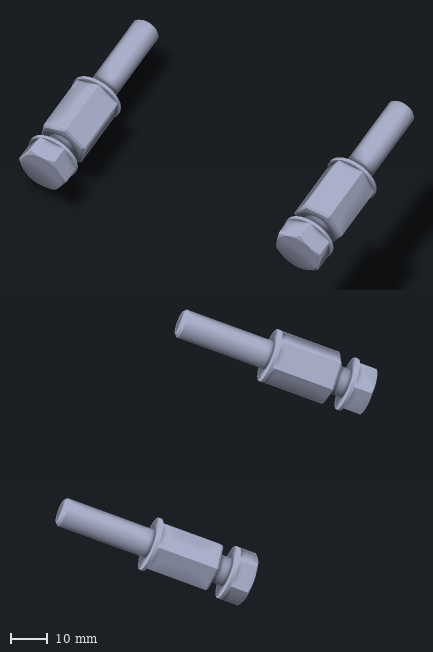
import cadquery as cq
import math

overall_width = 95.6
axis_rise = 19.8

across_flats = 13.0
across_corners = across_flats / math.cos(math.pi / 6)

shank_diameter = 8.0
overall_length = 55.6
head_height = 5.6
shank_length = overall_length - head_height
tip_chamfer = 0.7
head_face_diameter = 12.8
head_chamfer_angle = 30.0

washer_diameter = across_corners
washer_thickness = 1.0

nut_length = 18.0
nut_head_side_chamfer = 0.6
nut_washer_side_chamfer = 0.3
nut_start = 4.9
nut_washer_start = nut_start + nut_length

axis_spacing = overall_width - washer_diameter
bolt_sets = [
    {"x": 0.0, "z": 0.0, "head_turn": 0.0, "nut_turn": -21.3},
    {"x": axis_spacing, "z": axis_rise, "head_turn": -25.2, "nut_turn": 0.0},
]


def hexagon_bar(start, length):
    """Hexagonal bar around the Y axis with a corner toward +X, from Y = start to start + length."""
    return cq.Workplane("XZ", origin=(0, start, 0)).polygon(6, across_corners).extrude(-length)


def rod(diameter, start, length):
    """Cylinder around the Y axis from Y = start to start + length."""
    return cq.Workplane("XZ", origin=(0, start, 0)).circle(diameter / 2).extrude(-length)


def turned(body, angle):
    """Rotate a body about the Y axis."""
    return body.rotate((0, 0, 0), (0, 1, 0), angle)


def make_head(head_turn):
    """Hexagonal head whose corners are trimmed by a cone at the outer end."""
    hexagon = hexagon_bar(-head_height, head_height)
    corner_radius = across_corners / 2
    face_radius = head_face_diameter / 2
    cone_depth = (corner_radius - face_radius) * math.tan(math.radians(head_chamfer_angle))
    trim = (
        cq.Workplane("XY")
        .lineTo(corner_radius, 0)
        .lineTo(corner_radius, -head_height + cone_depth)
        .lineTo(face_radius, -head_height)
        .lineTo(0, -head_height)
        .close()
        .revolve(360, (0, 0, 0), (0, 1, 0))
    )
    return turned(hexagon.intersect(trim), head_turn)


def make_bolt(head_turn):
    """Hexagon bolt with a chamfered shank tip."""
    shank = rod(shank_diameter, 0, shank_length).faces(">Y").chamfer(tip_chamfer)
    return shank.union(make_head(head_turn))


def make_washer(start):
    """Washer that fits closely around the shank."""
    disc = rod(washer_diameter, start, washer_thickness)
    return disc.cut(rod(shank_diameter, start, washer_thickness))


def make_nut(nut_turn):
    """Long hexagonal nut with both ends chamfered, bored for the shank."""
    hexagon = hexagon_bar(nut_start, nut_length)
    hexagon = hexagon.faces("<Y").chamfer(nut_head_side_chamfer)
    hexagon = hexagon.faces(">Y").chamfer(nut_washer_side_chamfer)
    return turned(hexagon.cut(rod(shank_diameter, nut_start, nut_length)), nut_turn)


bodies = []
for bolt_set in bolt_sets:
    bolt = make_bolt(bolt_set["head_turn"])
    head_washer = make_washer(0)
    nut = make_nut(bolt_set["nut_turn"])
    nut_washer = make_washer(nut_washer_start)
    axis_position = (bolt_set["x"], 0, bolt_set["z"])
    for body in (bolt, head_washer, nut, nut_washer):
        bodies.append(body.translate(axis_position).val())

result = cq.Compound.makeCompound(bodies)